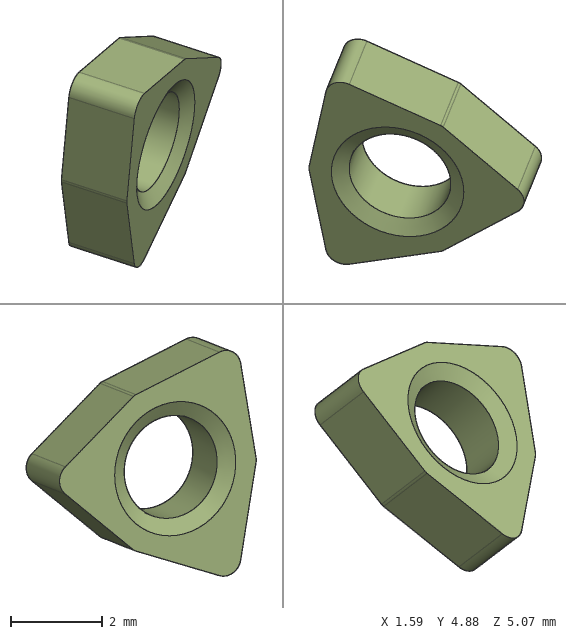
import cadquery as cq
import math

thickness = 1.59
height = 5.07
nose_radius = 0.4
nose_angle = 80.0
blend_radius = 0.2
hole_radius = 1.15
countersink_radius = 1.5
countersink_depth = 0.215

corner_count = 3
corner_step = 360.0 / corner_count
half_step = math.radians(corner_step / 2)
half_nose = math.radians(nose_angle / 2)

nose_center_distance = (height / 2 - nose_radius) / math.sin(math.radians(corner_step))
nose_distance = nose_center_distance + nose_radius / math.sin(half_nose)
blunt_distance = nose_distance * math.sin(half_nose) / math.sin(half_step + half_nose)


def polar_point(distance, angle):
    """Point in the YZ plane, with the angle measured from +Y toward +Z."""
    return (distance * math.cos(angle), distance * math.sin(angle))


def axial_edges_at(distance, first_angle):
    """Selector for the three X-direction edges lying on one circle of corners."""
    selectors = []
    for index in range(corner_count):
        y, z = polar_point(distance, first_angle + index * 2 * half_step)
        selectors.append(cq.selectors.BoxSelector(
            (-0.05, y - 0.05, z - 0.05), (thickness + 0.05, y + 0.05, z + 0.05)))
    return selectors[0] + selectors[1] + selectors[2]


def insert_body():
    """Trigon plate: three noses alternating with three blunt corners."""
    outline = []
    for index in range(corner_count):
        nose_direction = index * 2 * half_step
        outline.append(polar_point(nose_distance, nose_direction))
        outline.append(polar_point(blunt_distance, nose_direction + half_step))
    body = cq.Workplane("YZ").polyline(outline).close().extrude(thickness)
    body = body.edges(axial_edges_at(nose_distance, 0)).fillet(nose_radius)
    return body.edges(axial_edges_at(blunt_distance, half_step)).fillet(blend_radius)


def countersunk_hole():
    """Revolved cutter: through hole with a conical countersink on each face."""
    return (
        cq.Workplane("XY")
        .moveTo(0, 0)
        .lineTo(0, countersink_radius)
        .lineTo(countersink_depth, hole_radius)
        .lineTo(thickness - countersink_depth, hole_radius)
        .lineTo(thickness, countersink_radius)
        .lineTo(thickness, 0)
        .close()
        .revolve(360, (0, 0, 0), (1, 0, 0))
    )


result = insert_body().cut(countersunk_hole())